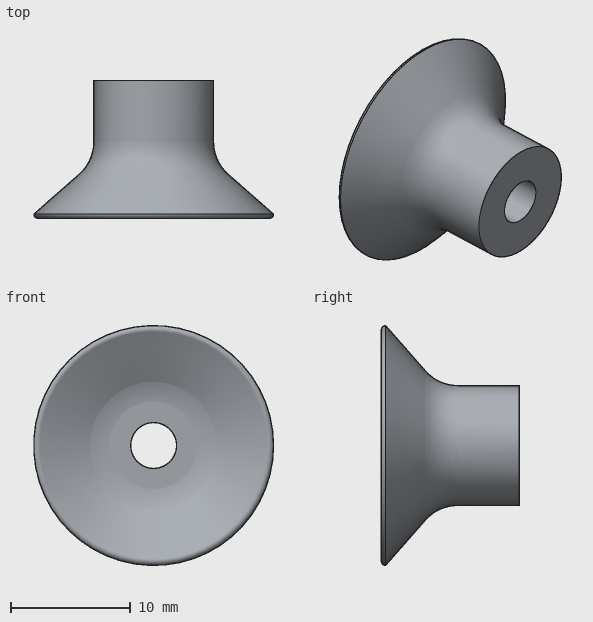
import cadquery as cq
import math

total_length = 11.5
rim_radius = 10.0
neck_radius = 5.0
bore_radius = 1.9

flare_start_y = 6.38
flare_radius = 3.6

seat_depth = 2.5
seat_radius = 3.65
seat_blend_radius = 3.7

lip_radius = 0.35


def tangent_normal(center, target, reach, side):
    """Unit normal n with (target - center) . n = reach, turned left (+1) or right (-1)."""
    dx = target[0] - center[0]
    dy = target[1] - center[1]
    angle = math.atan2(dy, dx) + side * math.acos(reach / math.hypot(dx, dy))
    return math.cos(angle), math.sin(angle)


def point_along(center, direction, distance):
    return (center[0] + distance * direction[0], center[1] + distance * direction[1])


def unit_between(first, second):
    """Unit direction halfway between two unit directions."""
    x = first[0] + second[0]
    y = first[1] + second[1]
    length = math.hypot(x, y)
    return x / length, y / length


rim_edge = (rim_radius, lip_radius)
flare_center = (neck_radius + flare_radius, flare_start_y)
lip_center = (rim_radius - lip_radius, lip_radius)
blend_center = (seat_radius, seat_depth - seat_blend_radius)

toward_axis = (-1.0, 0.0)
toward_rim = (1.0, 0.0)
toward_neck = (0.0, 1.0)

outer_normal = tangent_normal(flare_center, rim_edge, flare_radius, -1)
flare_middle = unit_between(toward_axis, outer_normal)

inner_normal = tangent_normal(blend_center, lip_center, seat_blend_radius + lip_radius, 1)
inner_normal_reversed = (-inner_normal[0], -inner_normal[1])
lip_middle = unit_between(toward_rim, inner_normal_reversed)
blend_middle = unit_between(inner_normal, toward_neck)

profile = (
    cq.Workplane("XY")
    .moveTo(bore_radius, total_length)
    .lineTo(neck_radius, total_length)
    .lineTo(neck_radius, flare_start_y)
    .threePointArc(
        point_along(flare_center, flare_middle, flare_radius),
        point_along(flare_center, outer_normal, flare_radius),
    )
    .lineTo(*rim_edge)
    .threePointArc(
        point_along(lip_center, lip_middle, lip_radius),
        point_along(lip_center, inner_normal, -lip_radius),
    )
    .lineTo(*point_along(blend_center, inner_normal, seat_blend_radius))
    .threePointArc(
        point_along(blend_center, blend_middle, seat_blend_radius),
        (seat_radius, seat_depth),
    )
    .lineTo(bore_radius, seat_depth)
    .close()
)

result = profile.revolve(360, (0, 0, 0), (0, 1, 0))